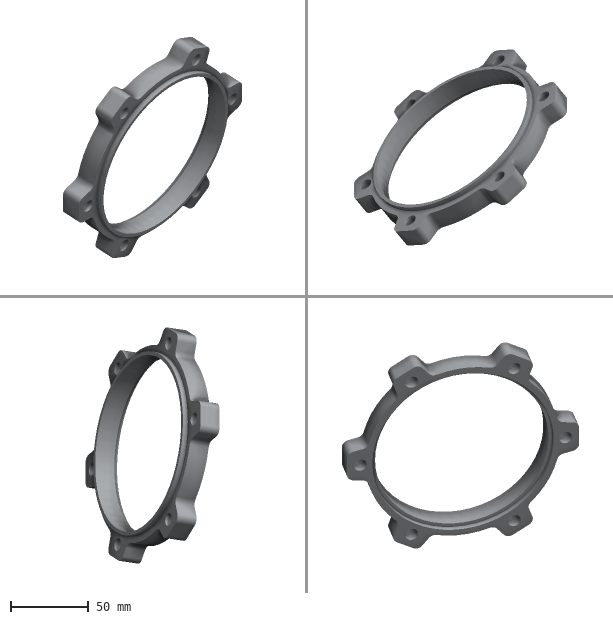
import cadquery as cq
import math

flange_thickness = 14.0
spigot_length = 3.5
ring_diameter = 129.0
bore_diameter = 115.0
spigot_diameter = 120.0
recess_diameter = 120.3
recess_depth = spigot_length

ear_count = 6
ear_tip_radius = 77.0
ear_tip_half_width = 10.3
ear_flank_angle = 10
ear_root_radius = 59.3
ear_corner_fillet = 5.0
ear_root_fillet = 5.0
bolt_circle_radius = 68.0
bolt_hole_diameter = 8.5


def disc(diameter, start, length):
    """Cylinder on the X axis from x = start."""
    return cq.Workplane("YZ", origin=(start, 0, 0)).circle(diameter / 2).extrude(length)


def ear(angle):
    """Tapered ear with rounded tip corners, turned about X."""
    flank_rise = (ear_tip_radius - ear_root_radius) * math.tan(math.radians(ear_flank_angle))
    root_half_width = ear_tip_half_width + flank_rise
    outline = [
        (ear_root_radius, -root_half_width),
        (ear_tip_radius, -ear_tip_half_width),
        (ear_tip_radius, ear_tip_half_width),
        (ear_root_radius, root_half_width),
    ]
    body = cq.Workplane("YZ").polyline(outline).close().extrude(flange_thickness)
    rounded = body.edges("|X and >Y").fillet(ear_corner_fillet)
    return rounded.rotate((0, 0, 0), (1, 0, 0), angle)


flange = disc(ring_diameter, 0, flange_thickness)
for index in range(ear_count):
    flange = flange.union(ear(index * 360 / ear_count))

selection_margin = 0.2
root_zone = disc(ring_diameter + selection_margin, 0, flange_thickness).val()
root_edges = [
    edge for edge in flange.edges("|X").vals() if root_zone.isInside(edge.Center())
]
flange = flange.newObject(root_edges).fillet(ear_root_fillet)

total_length = flange_thickness + spigot_length
body = flange.union(disc(spigot_diameter, flange_thickness, spigot_length))
body = body.cut(disc(bore_diameter, 0, total_length))
body = body.cut(disc(recess_diameter, 0, recess_depth))

bolt_holes = (
    cq.Workplane("YZ")
    .polarArray(bolt_circle_radius, 0, 360, ear_count)
    .circle(bolt_hole_diameter / 2)
    .extrude(flange_thickness)
)
result = body.cut(bolt_holes)